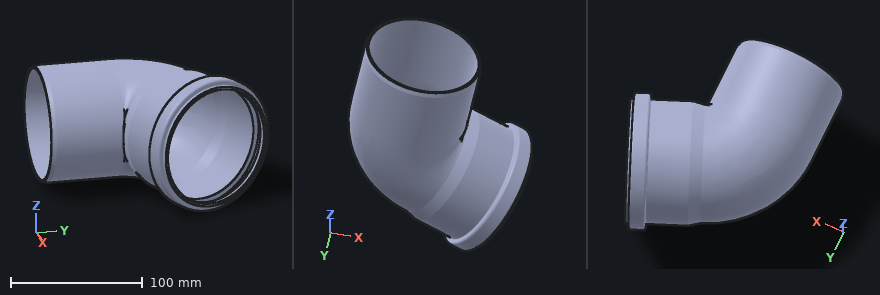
import cadquery as cq
import math

bend_angle = 67.5
bend_radius = 42.2
spigot_length = 57.6

pipe_radius = 90.2 / 2
pipe_bore_radius = 85.4 / 2

spigot_taper_length = 4.0
spigot_taper_depth = 1.2

socket_radius = 95.0 / 2
socket_bore_radius = 90.5 / 2
cone_start = 2.2
cone_end = 11.6
bead_start = 43.9
bead_end = 57.0
socket_length = 59.6

bead_radius = 104.5 / 2
groove_radius = 100.3 / 2
bead_wall = bead_radius - groove_radius
bead_round = 2.0
bead_foot_round = 0.8
lip_radius = 94.7 / 2

bend_end = (
    bend_radius * (1 - math.cos(math.radians(bend_angle))),
    spigot_length + bend_radius * math.sin(math.radians(bend_angle)),
)


def revolve_about_y(profile):
    """Revolve a closed (radius, distance) profile fully about the Y axis."""
    return profile.close().revolve(360, (0, 0, 0), (0, 1, 0))


def place_at_bend_end(body):
    """Turn a body built along +Y onto the socket axis."""
    turned = body.rotate((0, 0, 0), (0, 0, 1), -bend_angle)
    return turned.translate((bend_end[0], bend_end[1], 0))


def bend_body(radius):
    """Swept disc, cut flat at the pivot because the bend is tighter than the pipe radius."""
    half_chord = math.sqrt(radius**2 - bend_radius**2)
    section = (
        cq.Workplane("XZ", origin=(0, spigot_length, 0))
        .moveTo(bend_radius, -half_chord)
        .threePointArc((-radius, 0), (bend_radius, half_chord))
        .close()
    )
    return section.revolve(bend_angle, (bend_radius, 0, 0), (bend_radius, -1, 0))


def spigot_outside():
    return revolve_about_y(
        cq.Workplane("XY")
        .lineTo(pipe_radius - spigot_taper_depth, 0)
        .lineTo(pipe_radius, spigot_taper_length)
        .lineTo(pipe_radius, spigot_length)
        .lineTo(0, spigot_length)
    )


def socket_outside():
    body = revolve_about_y(
        cq.Workplane("XY")
        .lineTo(pipe_radius, 0)
        .lineTo(pipe_radius, cone_start)
        .lineTo(socket_radius, cone_end)
        .lineTo(socket_radius, bead_end)
        .lineTo(lip_radius, bead_end)
        .lineTo(lip_radius, socket_length)
        .lineTo(0, socket_length)
    )
    bead = cq.Workplane("XZ", origin=(0, bead_start, 0)).circle(bead_radius)
    bead = bead.extrude(bead_start - bead_end).edges().fillet(bead_round)
    body = body.union(bead)
    for foot in (bead_start, bead_end):
        foot_zone = cq.selectors.BoxSelector(
            (-bead_radius, foot - bead_foot_round, -bead_radius),
            (bead_radius, foot + bead_foot_round, bead_radius),
            boundingbox=True,
        )
        body = body.edges("%CIRCLE").edges(foot_zone).fillet(bead_foot_round)
    return place_at_bend_end(body)


def spigot_bore():
    return cq.Workplane("XZ").circle(pipe_bore_radius).extrude(-spigot_length)


def socket_bore():
    groove_start = bead_start + bead_wall
    groove_end = bead_end - bead_wall
    return place_at_bend_end(revolve_about_y(
        cq.Workplane("XY")
        .lineTo(pipe_bore_radius, 0)
        .lineTo(pipe_bore_radius, cone_start)
        .lineTo(socket_bore_radius, cone_end)
        .lineTo(socket_bore_radius, groove_start)
        .lineTo(groove_radius, groove_start)
        .lineTo(groove_radius, groove_end)
        .lineTo(socket_bore_radius, groove_end)
        .lineTo(socket_bore_radius, socket_length)
        .lineTo(0, socket_length)
    ))


outside = spigot_outside().union(bend_body(pipe_radius)).union(socket_outside())
inside = spigot_bore().union(bend_body(pipe_bore_radius)).union(socket_bore())
result = outside.cut(inside)